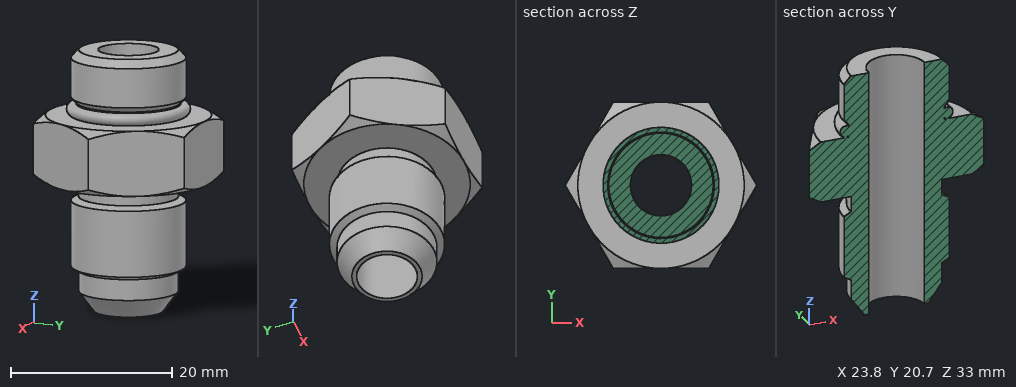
import cadquery as cq
import math

total_height = 33.02
cone_height = 2.5
pilot_top = 5.15
lower_thread_top = 14.5
hex_bottom = 16.5
hex_top = 24.75
upper_thread_bottom = 27.08

bore_radius = 3.75
nose_radius = 4.35
neck_radius = 6.2
thread_radius = 7.15
end_face_radius = 6.17
end_chamfer_radius = 6.35
groove_radius = 6.5
ring_outer_radius = 7.7

lower_thread_chamfer = 0.5
end_chamfer_height = 1.0
end_lip_height = 0.1
thread_runout_height = 0.65
ring_section_radius = 0.8

hex_across_flats = 20.65
hex_chamfer_angle = 30.0


def revolve_profile(points):
    """Revolve a closed (radius, height) outline about the Z axis."""
    return cq.Workplane("XZ").polyline(points).close().revolve(360, (0, 0), (0, 1))


def make_turned_body():
    end_chamfer_bottom = total_height - end_chamfer_height
    return revolve_profile([
        (0, 0),
        (nose_radius, 0),
        (neck_radius, cone_height),
        (neck_radius, pilot_top),
        (thread_radius, pilot_top + lower_thread_chamfer),
        (thread_radius, lower_thread_top - lower_thread_chamfer),
        (neck_radius, lower_thread_top),
        (neck_radius, hex_bottom),
        (groove_radius, hex_top),
        (groove_radius, upper_thread_bottom - thread_runout_height),
        (thread_radius, upper_thread_bottom),
        (thread_radius, end_chamfer_bottom),
        (end_chamfer_radius, total_height - end_lip_height),
        (end_face_radius, total_height),
        (0, total_height),
    ])


def make_hexagon():
    flat_radius = hex_across_flats / 2
    corner_radius = flat_radius / math.cos(math.radians(30))
    hex_height = hex_top - hex_bottom
    chamfer_drop = (corner_radius - flat_radius) * math.tan(math.radians(hex_chamfer_angle))
    prism = (
        cq.Workplane("XY")
        .workplane(offset=hex_bottom)
        .polygon(6, 2 * corner_radius)
        .extrude(hex_height)
    )
    chamfer_envelope = revolve_profile([
        (0, hex_bottom),
        (flat_radius, hex_bottom),
        (corner_radius, hex_bottom + chamfer_drop),
        (corner_radius, hex_top - chamfer_drop),
        (flat_radius, hex_top),
        (0, hex_top),
    ])
    return prism.intersect(chamfer_envelope)


def make_seal_ring():
    """O-ring resting on the upper face of the hexagon."""
    ring_center_radius = ring_outer_radius - ring_section_radius
    ring_center_height = hex_top + ring_section_radius
    ring = cq.Solid.makeTorus(ring_center_radius, ring_section_radius)
    return cq.Workplane(ring.translate(cq.Vector(0, 0, ring_center_height)))


bore = cq.Workplane("XY").circle(bore_radius).extrude(total_height)

result = make_turned_body().union(make_hexagon()).union(make_seal_ring()).cut(bore)